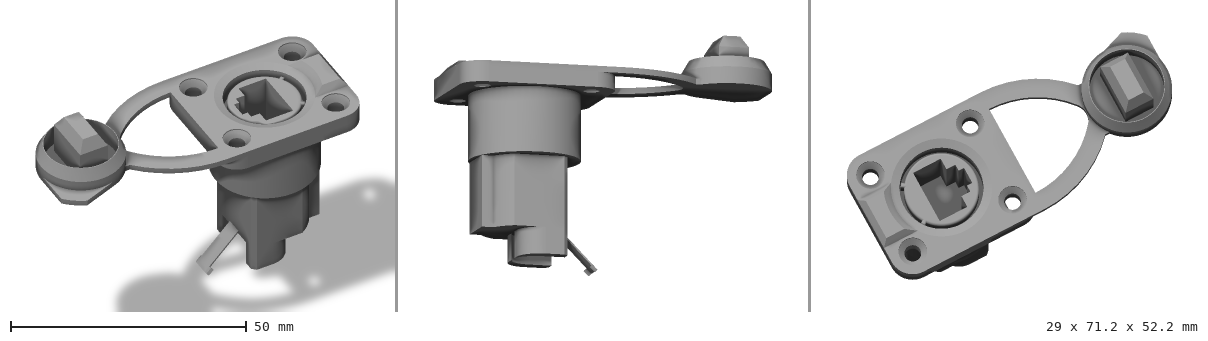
import cadquery as cq
import math


PLATE_WIDTH = 29.0
PLATE_LENGTH = 34.0
PLATE_THICKNESS = 4.55
CORNER_RADIUS = 5.0
HOLE_SPACING_X = 19.0
HOLE_SPACING_Y = 24.0
HOLE_DIAMETER = 3.55
COUNTERSINK_DIAMETER = 6.05
COUNTERSINK_ANGLE = 90
HEAD_RECESS_DEPTH = 0.3

BARREL_RADIUS = 11.95
BARREL_BOTTOM_Z = -18.65
MOUTH_TOP_RADIUS = 10.75
MOUTH_RADIUS = 8.9
MOUTH_BEVEL_DEPTH = 0.65
INSERT_RADIUS = 8.0
INSERT_TOP_Z = -1.4
INSERT_EDGE_ROUND = 0.5
KEY_ANGLE = 34.5
KEY_WIDTH = 1.0
KEY_REACH = 8.7
KEY_EDGE_ROUND = 0.35

SOCKET_REAR_Y = 3.6
SOCKET_STEPS = [(6.0, -3.0), (3.35, -5.1), (1.85, -6.4)]
SOCKET_DEPTH = 14.25

RAMP_HALF_WIDTH = 6.0
RAMP_TOP_HALF_WIDTH = 4.6
RAMP_HEIGHT = 1.5
RAMP_REAR_SETBACK = 1.3
RAMP_CUT_TOP_RADIUS = 12.3

HOUSING_WIDTH = 16.6
HOUSING_FRONT_Y = -7.4
HOUSING_CHAMFER = 0.9
HOUSING_ROUND_RADIUS = 9.5
TONGUE_WIDTH = 9.5
TONGUE_REAR_Y = 10.75
HOUSING_BOTTOM_Z = -34.1
FOOT_BOTTOM_Z = -39.9
FOOT_REAR_Y = 2.55
FOOT_CORNER_RADIUS = 5.0
FOOT_SLOT_RADIUS = 5.1

LATCH_TOP_Z = -33.4
LATCH_SLOPE = 45
LATCH_LENGTH = 11.5
LATCH_HALF_WIDTH = 1.85
LATCH_THICKNESS = 0.35
WING_LENGTH = 1.6
WING_SPREAD = 0.85
WING_DROP = 0.8
WING_BEND_WIDTH = 0.46
WING_BEND_DROP = 0.2
WING_TIP_INSET = 0.25

STRAP_THICKNESS = 1.3
STRAP_OUTER_RADIUS = 25.9
STRAP_WIDTH = 4.05
STRAP_CROTCH_RADIUS = 3.7
STRAP_END_HALF_WIDTH = 6.1

CAP_Y = -44.6
CAP_RADIUS = 9.6
CAP_SHOULDER_Z = 2.35
CAP_TOP_Z = 4.9
CAP_RIM_RADIUS = 8.1
CAP_BORE_RADIUS = 8.0
KNOB_LENGTH = 11.45
KNOB_WIDTH = 6.7
KNOB_TOP_LENGTH = 8.3
KNOB_TOP_WIDTH = 3.6
KNOB_SHOULDER_Z = 7.25
KNOB_TOP_Z = 9.9
TAB_RADIUS = 13.0
TAB_SIDE_ANGLE = 19.4

plate_rear_y = PLATE_LENGTH / 2
plate_front_y = -plate_rear_y
housing_half_width = HOUSING_WIDTH / 2
tongue_half_width = TONGUE_WIDTH / 2


def block(x_min, x_max, y_min, y_max, z_min, z_max):
    """Box given by its limits along each axis."""
    size = (x_max - x_min, y_max - y_min, z_max - z_min)
    return cq.Workplane("XY").box(*size, centered=False).translate((x_min, y_min, z_min))


def cylinder(radius, z_min, z_max, y=0):
    """Upright cylinder centred on x = 0."""
    return cq.Workplane("XY", origin=(0, y, z_min)).circle(radius).extrude(z_max - z_min)


def cone(bottom_radius, top_radius, z_min, z_max, y=0):
    """Upright truncated cone centred on x = 0."""
    base = cq.Workplane("XY", origin=(0, y, z_min)).circle(bottom_radius)
    return base.workplane(offset=z_max - z_min).circle(top_radius).loft()


def make_plate():
    """Rectangular plate with rounded corners."""
    plate = block(-PLATE_WIDTH / 2, PLATE_WIDTH / 2, plate_front_y, plate_rear_y, -PLATE_THICKNESS, 0)
    return plate.edges("|Z").fillet(CORNER_RADIUS)


def make_ramp():
    """Raised block, sloped at the rear and sides, cut by a flared cone around the barrel axis."""
    base_points = [(-RAMP_HALF_WIDTH, plate_rear_y), (RAMP_HALF_WIDTH, plate_rear_y),
                   (RAMP_HALF_WIDTH, 0), (-RAMP_HALF_WIDTH, 0)]
    top_rear_y = plate_rear_y - RAMP_REAR_SETBACK
    top_points = [(-RAMP_TOP_HALF_WIDTH, top_rear_y), (RAMP_TOP_HALF_WIDTH, top_rear_y),
                  (RAMP_TOP_HALF_WIDTH, 0), (-RAMP_TOP_HALF_WIDTH, 0)]
    base = cq.Workplane("XY").polyline(base_points).close()
    ramp = base.workplane(offset=RAMP_HEIGHT).polyline(top_points).close().loft(ruled=True)
    return ramp.cut(cone(MOUTH_TOP_RADIUS, RAMP_CUT_TOP_RADIUS, 0, RAMP_HEIGHT))


def make_mouth():
    """Cavity in the barrel top: a shallow bevel above a straight bore."""
    bevel = cone(MOUTH_RADIUS, MOUTH_TOP_RADIUS, -MOUTH_BEVEL_DEPTH, 0)
    return bevel.union(cylinder(MOUTH_RADIUS, -PLATE_THICKNESS, -MOUTH_BEVEL_DEPTH))


def make_insert():
    """Round-edged socket insert with two locating keys."""
    insert = cylinder(INSERT_RADIUS, -PLATE_THICKNESS, INSERT_TOP_Z)
    insert = insert.faces(">Z").edges().fillet(INSERT_EDGE_ROUND)
    key = block(-KEY_WIDTH / 2, KEY_WIDTH / 2, INSERT_RADIUS - INSERT_EDGE_ROUND, KEY_REACH,
                -PLATE_THICKNESS, INSERT_TOP_Z)
    key = key.faces(">Z").edges("|Y or >Y").fillet(KEY_EDGE_ROUND)
    for angle in (-KEY_ANGLE, KEY_ANGLE):
        insert = insert.union(key.rotate((0, 0, 0), (0, 0, 1), angle))
    return insert


def make_socket():
    """Plug opening that narrows in steps toward -Y."""
    bottom_z = INSERT_TOP_Z - SOCKET_DEPTH
    socket = cq.Workplane("XY")
    for half_width, front_y in SOCKET_STEPS:
        step = block(-half_width, half_width, front_y, SOCKET_REAR_Y, bottom_z, INSERT_TOP_Z)
        socket = socket.add(step)
    return socket.combine()


def make_housing():
    """Housing with a rear tongue and, below it, a foot split into two legs by a round-ended slot."""
    side_y = math.sqrt(HOUSING_ROUND_RADIUS**2 - housing_half_width**2)
    tongue_y = math.sqrt(HOUSING_ROUND_RADIUS**2 - tongue_half_width**2)
    middle = HOUSING_ROUND_RADIUS / math.sqrt(2)
    upper = (
        cq.Workplane("XY", origin=(0, 0, BARREL_BOTTOM_Z))
        .moveTo(-housing_half_width, HOUSING_FRONT_Y)
        .lineTo(housing_half_width, HOUSING_FRONT_Y)
        .lineTo(housing_half_width, side_y)
        .threePointArc((middle, middle), (tongue_half_width, tongue_y))
        .lineTo(tongue_half_width, TONGUE_REAR_Y)
        .lineTo(-tongue_half_width, TONGUE_REAR_Y)
        .lineTo(-tongue_half_width, tongue_y)
        .threePointArc((-middle, middle), (-housing_half_width, side_y))
        .close()
        .extrude(HOUSING_BOTTOM_Z - BARREL_BOTTOM_Z)
    )
    foot = block(-housing_half_width, housing_half_width, HOUSING_FRONT_Y, FOOT_REAR_Y,
                 FOOT_BOTTOM_Z, HOUSING_BOTTOM_Z)
    foot = foot.edges("|Z and >Y").fillet(FOOT_CORNER_RADIUS)
    slot_y = FOOT_REAR_Y - FOOT_CORNER_RADIUS
    slot = cylinder(FOOT_SLOT_RADIUS, FOOT_BOTTOM_Z, HOUSING_BOTTOM_Z, slot_y)
    slot_mouth = block(-FOOT_SLOT_RADIUS, FOOT_SLOT_RADIUS, HOUSING_FRONT_Y, slot_y,
                       FOOT_BOTTOM_Z, HOUSING_BOTTOM_Z)
    housing = upper.union(foot)
    housing = housing.edges("|Z and <Y").chamfer(HOUSING_CHAMFER)
    return housing.cut(slot.union(slot_mouth))


def make_latch():
    """Thin spring with two bent wings at its tip, built along -Y and then tilted down."""
    root_overlap = LATCH_THICKNESS
    strip = block(-LATCH_HALF_WIDTH, LATCH_HALF_WIDTH, -LATCH_LENGTH, root_overlap, -LATCH_THICKNESS, 0)
    bend_x = LATCH_HALF_WIDTH + WING_BEND_WIDTH
    tip_x = LATCH_HALF_WIDTH + WING_SPREAD
    wing_points = [
        (LATCH_HALF_WIDTH, 0),
        (bend_x, -WING_BEND_DROP),
        (tip_x, -WING_DROP),
        (tip_x - WING_TIP_INSET, -WING_DROP - WING_TIP_INSET),
        (bend_x - WING_TIP_INSET, -WING_BEND_DROP - LATCH_THICKNESS),
        (LATCH_HALF_WIDTH, -LATCH_THICKNESS),
    ]
    wing = cq.Workplane("XZ", origin=(0, WING_LENGTH - LATCH_LENGTH, 0)).polyline(wing_points).close()
    wing = wing.extrude(WING_LENGTH)
    latch = strip.union(wing).union(wing.mirror("YZ"))
    return latch.rotate((0, 0, 0), (1, 0, 0), LATCH_SLOPE).translate((0, HOUSING_FRONT_Y, LATCH_TOP_Z))


def make_strap():
    """Flat tether: two curved arms that meet at the cap around a pointed opening."""
    half_width = PLATE_WIDTH / 2
    arm_centre_x = STRAP_OUTER_RADIUS - half_width
    inner_radius = STRAP_OUTER_RADIUS - STRAP_WIDTH
    opening_half_width = half_width - STRAP_WIDTH

    def arm_point(radius, x):
        """Point at x > 0 on the right-hand arm's arc."""
        return x, plate_front_y - math.sqrt(radius**2 - (x + arm_centre_x)**2)

    def middle_point(radius, end):
        """Point halfway along the arc from the plate to its end point."""
        angle = math.atan2(end[1] - plate_front_y, end[0] + arm_centre_x) / 2
        return radius * math.cos(angle) - arm_centre_x, plate_front_y + radius * math.sin(angle)

    def mirrored(point):
        return -point[0], point[1]

    outer_end = arm_point(STRAP_OUTER_RADIUS, STRAP_END_HALF_WIDTH)
    outer_middle = middle_point(STRAP_OUTER_RADIUS, outer_end)
    outline = (
        cq.Workplane("XY", origin=(0, 0, -STRAP_THICKNESS))
        .moveTo(half_width, plate_front_y)
        .threePointArc(outer_middle, outer_end)
        .lineTo(STRAP_END_HALF_WIDTH, CAP_Y)
        .lineTo(-STRAP_END_HALF_WIDTH, CAP_Y)
        .lineTo(*mirrored(outer_end))
        .threePointArc(mirrored(outer_middle), (-half_width, plate_front_y))
        .lineTo(-half_width, plate_front_y + CORNER_RADIUS)
        .lineTo(half_width, plate_front_y + CORNER_RADIUS)
        .close()
        .extrude(STRAP_THICKNESS)
    )

    crotch_y = plate_front_y - math.sqrt((inner_radius - STRAP_CROTCH_RADIUS)**2 - arm_centre_x**2)
    tangent_angle = math.atan2(crotch_y - plate_front_y, arm_centre_x)
    inner_end = (
        inner_radius * math.cos(tangent_angle) - arm_centre_x,
        plate_front_y + inner_radius * math.sin(tangent_angle),
    )
    inner_middle = middle_point(inner_radius, inner_end)
    opening = (
        cq.Workplane("XY", origin=(0, 0, -STRAP_THICKNESS))
        .moveTo(opening_half_width, plate_front_y)
        .threePointArc(inner_middle, inner_end)
        .threePointArc((0, crotch_y - STRAP_CROTCH_RADIUS), mirrored(inner_end))
        .threePointArc(mirrored(inner_middle), (-opening_half_width, plate_front_y))
        .close()
        .extrude(STRAP_THICKNESS)
    )
    return outline.cut(opening)


def make_tab():
    """Pull tab: tangents of the cap joined by an arc about the cap axis."""
    tangent_length = math.sqrt(TAB_RADIUS**2 - CAP_RADIUS**2)
    tangent_span = math.atan2(tangent_length, CAP_RADIUS)
    front_angle = -math.pi / 2
    corner_angle = front_angle + tangent_span
    side_angle = math.radians(TAB_SIDE_ANGLE)
    side_corner_angle = side_angle - tangent_span

    def polar(radius, angle):
        return radius * math.cos(angle), radius * math.sin(angle)

    return (
        cq.Workplane("XY", origin=(0, CAP_Y, -STRAP_THICKNESS))
        .moveTo(*polar(CAP_RADIUS, front_angle))
        .lineTo(*polar(TAB_RADIUS, corner_angle))
        .threePointArc(polar(TAB_RADIUS, (corner_angle + side_corner_angle) / 2),
                       polar(TAB_RADIUS, side_corner_angle))
        .lineTo(*polar(CAP_RADIUS, side_angle))
        .lineTo(0, 0)
        .close()
        .extrude(STRAP_THICKNESS)
    )


def make_knob():
    """Rectangular grip with a tapered top."""
    grip = block(-KNOB_LENGTH / 2, KNOB_LENGTH / 2, CAP_Y - KNOB_WIDTH / 2, CAP_Y + KNOB_WIDTH / 2,
                 -STRAP_THICKNESS, KNOB_SHOULDER_Z)
    top = cq.Workplane("XY", origin=(0, CAP_Y, KNOB_SHOULDER_Z)).rect(KNOB_LENGTH, KNOB_WIDTH)
    top = top.workplane(offset=KNOB_TOP_Z - KNOB_SHOULDER_Z).rect(KNOB_TOP_LENGTH, KNOB_TOP_WIDTH)
    return grip.union(top.loft(ruled=True))


def make_cap():
    """Cup with a bevelled rim, and a gripping knob standing on its floor."""
    cap = cylinder(CAP_RADIUS, -STRAP_THICKNESS, CAP_SHOULDER_Z, CAP_Y)
    cap = cap.union(cone(CAP_RADIUS, CAP_RIM_RADIUS, CAP_SHOULDER_Z, CAP_TOP_Z, CAP_Y))
    cap = cap.cut(cylinder(CAP_BORE_RADIUS, 0, CAP_TOP_Z, CAP_Y))
    return cap.union(make_knob()).union(make_tab())


body = make_plate().union(make_strap())
body = (
    body.union(make_ramp())
    .union(cylinder(BARREL_RADIUS, BARREL_BOTTOM_Z, -PLATE_THICKNESS))
    .cut(make_mouth())
    .union(make_insert())
    .union(make_housing())
    .cut(make_socket())
)

body = (
    body.copyWorkplane(cq.Workplane("XY"))
    .rarray(HOLE_SPACING_X, HOLE_SPACING_Y, 2, 2)
    .circle(COUNTERSINK_DIAMETER / 2)
    .cutBlind(-HEAD_RECESS_DEPTH)
    .copyWorkplane(cq.Workplane("XY", origin=(0, 0, -HEAD_RECESS_DEPTH)))
    .rarray(HOLE_SPACING_X, HOLE_SPACING_Y, 2, 2)
    .cskHole(HOLE_DIAMETER, COUNTERSINK_DIAMETER, COUNTERSINK_ANGLE, depth=PLATE_THICKNESS)
)

result = body.union(make_latch()).union(make_cap())